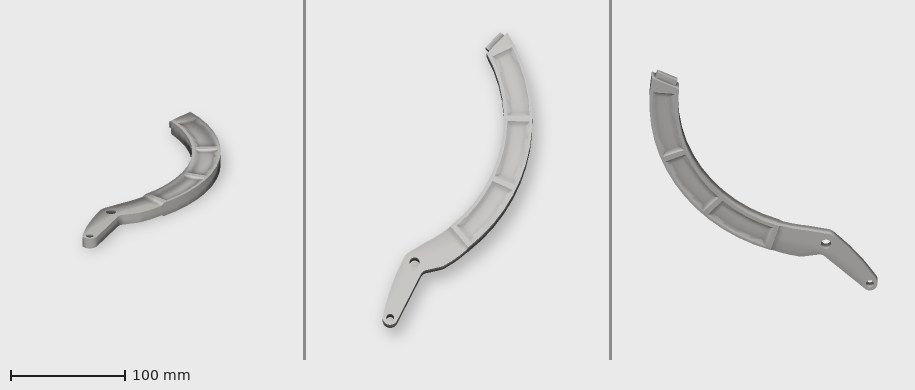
import cadquery as cq
import math

OUTER_RADIUS = 151.5
INNER_RADIUS = 126.5
BAND_THICKNESS = 12.5
STEP_ANGLE = -28.0
INNER_ARC_END_ANGLE = -39.4

TIP_OUTER = (88.8, 123.5)
TIP_INNER = (79.6, 98.8)
TONGUE_INSET = 3.2
TONGUE_WIDTH = 19.2
TONGUE_LENGTH = 5.5
TONGUE_THICKNESS = 5.7

POCKET_ANGLES = [(-26, -3), (-1, 22), (24, 49)]
POCKET_RIM = 3.2
RIM_INNER_RADIUS = INNER_RADIUS + POCKET_RIM
RIM_OUTER_RADIUS = OUTER_RADIUS - 2.3

ARM_THICKNESS = 9.2
PIVOT = (95.7, -101.5)
PIVOT_DIAMETER = 9.0
ARM_END = (95.7, -156.5)
ARM_END_RADIUS = 6.5
ARM_END_DIAMETER = 7.0
OUTER_ELBOW_RADIUS = 10.3

BLEND_RUN = 4.0
BLEND_RISE = (BAND_THICKNESS - ARM_THICKNESS) / 2
BLEND_RADIUS = (BLEND_RUN**2 + BLEND_RISE**2) / (2 * BLEND_RISE)


def polar(radius, degrees):
    angle = math.radians(degrees)
    return (radius * math.cos(angle), radius * math.sin(angle))


def beside(centre, radius, degrees):
    dx, dy = polar(radius, degrees)
    return (centre[0] + dx, centre[1] + dy)


def body_outline():
    """Band and arm together, starting at the outer tip corner."""
    return (
        cq.Workplane("XY").workplane(offset=-BAND_THICKNESS / 2)
        .moveTo(*TIP_OUTER)
        .threePointArc(polar(OUTER_RADIUS, 0), polar(OUTER_RADIUS, STEP_ANGLE))
        .threePointArc((129.5, -80.5), (122.3, -91.7))
        .threePointArc((120.3, -94.5), (117.8, -96.8))
        .lineTo(109.2, -103.1)
        .threePointArc((106.0, -106.0), (105.0, -110.3))
        .lineTo(*beside(ARM_END, ARM_END_RADIUS, 0))
        .threePointArc(
            beside(ARM_END, ARM_END_RADIUS, -90),
            beside(ARM_END, ARM_END_RADIUS, 190),
        )
        .threePointArc((85.0, -123.2), beside(PIVOT, OUTER_ELBOW_RADIUS, 180))
        .threePointArc(
            beside(PIVOT, OUTER_ELBOW_RADIUS, 163),
            beside(PIVOT, OUTER_ELBOW_RADIUS, 145),
        )
        .lineTo(*polar(INNER_RADIUS, INNER_ARC_END_ANGLE))
        .threePointArc(polar(INNER_RADIUS, 0), TIP_INNER)
        .close()
    )


def step_cutter():
    """Material removed above the arm, with a concave blend up to the band."""
    blend_half_angle = math.asin(BLEND_RUN / BLEND_RADIUS) / 2
    floor = ARM_THICKNESS / 2
    top = BAND_THICKNESS / 2
    reach = OUTER_RADIUS
    blend_middle = (
        -BLEND_RUN + BLEND_RADIUS * math.sin(blend_half_angle),
        floor + BLEND_RADIUS * (1 - math.cos(blend_half_angle)),
    )
    return (
        cq.Workplane("YZ")
        .moveTo(0, top)
        .threePointArc(blend_middle, (-BLEND_RUN, floor))
        .lineTo(-reach, floor)
        .lineTo(-reach, top)
        .close()
        .extrude(2 * reach)
        .rotate((0, 0, 0), (0, 0, 1), STEP_ANGLE)
    )


def sector(plane, inner, outer, start, end, inset):
    """Ring sector whose four sides are moved inward by inset (outward if negative)."""
    low = inner + inset
    high = outer - inset
    middle = (start + end) / 2

    def corner(radius, side_angle, direction):
        shift = math.degrees(math.asin(inset / radius))
        return polar(radius, side_angle + direction * shift)

    return (
        plane.moveTo(*corner(low, start, 1))
        .lineTo(*corner(high, start, 1))
        .threePointArc(polar(high, middle), corner(high, end, -1))
        .lineTo(*corner(low, end, -1))
        .threePointArc(polar(low, middle), corner(low, start, 1))
        .close()
    )


def pocket_cutter(start, end):
    """Dished cutter: a prism, wider than the rim, with its bottom edges rounded.

    The rounding narrows the prism to the rim outline at the band face.
    """
    overhang = BLEND_RADIUS - BLEND_RUN
    floor = cq.Workplane("XY").workplane(offset=BAND_THICKNESS / 2 - BLEND_RISE)
    outline = sector(floor, RIM_INNER_RADIUS, RIM_OUTER_RADIUS, start, end, -overhang)
    return outline.extrude(2 * BLEND_RADIUS).faces("<Z").edges().fillet(BLEND_RADIUS)


def tongue():
    dx = TIP_INNER[0] - TIP_OUTER[0]
    dy = TIP_INNER[1] - TIP_OUTER[1]
    face_angle = math.degrees(math.atan2(dy, dx))
    centre_along = TONGUE_INSET + TONGUE_WIDTH / 2
    return (
        cq.Workplane("XY")
        .center(centre_along, 0)
        .box(TONGUE_WIDTH, 2 * TONGUE_LENGTH, TONGUE_THICKNESS)
        .rotate((0, 0, 0), (0, 0, 1), face_angle)
        .translate((*TIP_OUTER, 0))
    )


def hole(centre, diameter):
    return cq.Workplane("XY").center(*centre).circle(diameter / 2).extrude(BAND_THICKNESS, both=True)


result = body_outline().extrude(BAND_THICKNESS).union(tongue())

face_cutters = [step_cutter()] + [pocket_cutter(*angles) for angles in POCKET_ANGLES]
for cutter in face_cutters:
    result = result.cut(cutter).cut(cutter.mirror("XY"))

result = result.cut(hole(PIVOT, PIVOT_DIAMETER))
result = result.cut(hole(ARM_END, ARM_END_DIAMETER))